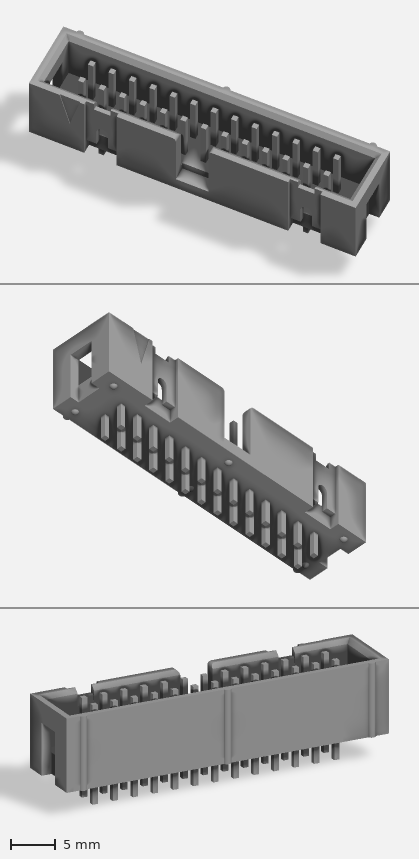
import cadquery as cq


length = 40.65
depth = 8.9
height = 8.9
wall = 1.25
floor_top = 2.55
mouth_wall = 0.75
mouth_drop = 0.53

columns = 13
pitch = 2.54
pin_width = 0.65
pin_top = 8.7
pin_tail = 3.2
middle_y = depth / 2

key_width = 4.05
key_bottom = 1.6
key_reach = 1.7
key_round = 0.5

bay_centers = (-11.4, 13.95)
bay_width = 4.02
bay_depth = 0.5
bay_foot_height = 1.83
slot_width = 1.4
slot_top = 4.8
latch_notch_width = 2.07
latch_notch_depth = 0.98
ramp_height = 1.05
ramp_depth = 0.25

window_width = 3.3
window_top = 6.35

mark_width = 2.5
mark_height = 4.55
mark_depth = 0.1

bump_xs = (-18.2, 0, 18.2)
bump_radius = 0.5
bump_height = 0.33
foot_ys = (1.42, 7.5)


def block(x_center, x_size, y_min, y_max, z_min, z_max):
    """Box centred on x_center, given by its limits in Y and Z."""
    box = cq.Workplane("XY").box(x_size, y_max - y_min, z_max - z_min, centered=(True, False, False))
    return box.translate((x_center, y_min, z_min))


def housing():
    """Open box with a flared mouth."""
    body = block(0, length, 0, depth, 0, height)
    cavity = block(0, length - 2 * wall, wall, depth - wall, floor_top, height)
    mouth = (
        cq.Workplane("XY", origin=(0, middle_y, height - mouth_drop))
        .rect(length - 2 * wall, depth - 2 * wall)
        .workplane(offset=mouth_drop)
        .rect(length - 2 * mouth_wall, depth - 2 * mouth_wall)
        .loft()
    )
    return body.cut(cavity).cut(mouth)


def key_notch():
    """Cutter for the keying notch, flaring in a convex round at the housing's top edge."""
    notch = block(0, key_width, 0, key_reach, key_bottom, height)
    half = key_width / 2
    shoulder = block(0, key_width + 2 * key_round, 0, wall, height - key_round, height)
    for side in (-1, 1):
        rounding = (
            cq.Workplane("XZ", origin=(side * (half + key_round), 0, height - key_round))
            .circle(key_round)
            .extrude(-wall)
        )
        shoulder = shoulder.cut(rounding)
    return notch.union(shoulder)


def latch_bay(x_center):
    """Cutter for one latch bay: recess, deeper foot, arched slot, top notch and inner ramp."""
    recess = block(x_center, bay_width, 0, bay_depth, 0, height)
    foot = block(x_center, bay_width, 0, wall, 0, bay_foot_height)
    radius = slot_width / 2
    slot = (
        block(x_center, slot_width, 0, wall, 0, slot_top - radius)
        .union(
            cq.Workplane("XZ", origin=(x_center, 0, slot_top - radius))
            .circle(radius)
            .extrude(-wall)
        )
    )
    sill = height - latch_notch_depth
    notch = block(x_center, latch_notch_width, 0, wall, sill, height)
    ramp = (
        cq.Workplane("YZ", origin=(x_center, 0, 0))
        .moveTo(wall, sill - ramp_height)
        .lineTo(wall, sill)
        .lineTo(wall - ramp_depth, sill)
        .close()
        .extrude(latch_notch_width / 2, both=True)
    )
    return recess.union(foot).union(slot).union(notch).union(ramp)


def end_windows():
    """Cutter for the openings through both end walls, open at the underside."""
    y_min = middle_y - window_width / 2
    y_max = middle_y + window_width / 2
    x_center = (length - wall) / 2
    left = block(-x_center, wall, y_min, y_max, 0, window_top)
    right = block(x_center, wall, y_min, y_max, 0, window_top)
    return left.union(right)


def pin_one_mark():
    """Cutter for the shallow triangle pointing at the first pin column."""
    x_center = -(columns - 1) / 2 * pitch
    return (
        cq.Workplane("XZ")
        .moveTo(x_center - mark_width / 2, height)
        .lineTo(x_center + mark_width / 2, height)
        .lineTo(x_center, height - mark_height)
        .close()
        .extrude(-mark_depth)
    )


def pins():
    """All contact pins."""
    return (
        cq.Workplane("XY", origin=(0, middle_y, -pin_tail))
        .rarray(pitch, pitch, columns, 2)
        .rect(pin_width, pin_width)
        .extrude(pin_tail + pin_top)
    )


def back_rib(x_center):
    """Full-height rounded rib on the back face."""
    rib_center_y = depth + bump_height - bump_radius
    return cq.Workplane("XY", origin=(x_center, rib_center_y, 0)).circle(bump_radius).extrude(height)


def standoff(x_center, y_center):
    """Domed foot under the housing; the rest of the ball lies inside the floor."""
    return cq.Workplane("XY", origin=(x_center, y_center, bump_radius - bump_height)).sphere(bump_radius)


result = housing().cut(key_notch()).cut(end_windows()).cut(pin_one_mark())
for bay_x in bay_centers:
    result = result.cut(latch_bay(bay_x))
result = result.union(pins())
for bump_x in bump_xs:
    result = result.union(back_rib(bump_x))
    for foot_y in foot_ys:
        result = result.union(standoff(bump_x, foot_y))